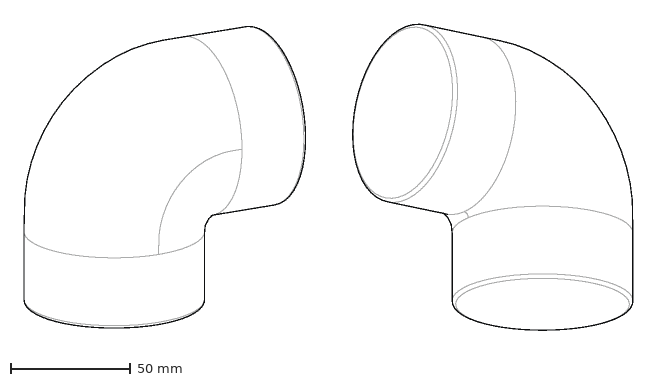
import math

import cadquery as cq

OUTER_DIAMETER = 76.0
OVERALL_LENGTH = 109.5
LEG_LENGTH = 31.3
RIM_RADIUS = 1.5
BACK_RADIUS = 69.0
BEND_ANGLE = 90.0
BEND_STEPS = 12

OUTER_RADIUS = OUTER_DIAMETER / 2
CENTRE_TO_FACE = OVERALL_LENGTH - OUTER_RADIUS
PIVOT_OFFSET = CENTRE_TO_FACE - LEG_LENGTH
THROAT_RADIUS = PIVOT_OFFSET - OUTER_RADIUS
BACK_REACH = PIVOT_OFFSET + OUTER_RADIUS
BACK_STRAIGHT = BACK_REACH - BACK_RADIUS


def leg(end_plane):
    """Straight round leg with a rounded rim; the plane lies on its end face, normal toward the bend."""
    end_face = cq.selectors.DirectionMinMaxSelector(end_plane.zDir, False)
    cylinder = cq.Workplane(end_plane).circle(OUTER_RADIUS).extrude(LEG_LENGTH)
    return cylinder.faces(end_face).fillet(RIM_RADIUS)


def back_distance(angle):
    """Distance from the pivot to the back of the bend: straight, arc, straight."""
    from_nearest_leg = min(angle, math.radians(BEND_ANGLE) - angle)
    if math.tan(from_nearest_leg) < BACK_STRAIGHT / BACK_REACH:
        return BACK_REACH / math.cos(from_nearest_leg)
    along_ray = BACK_STRAIGHT * (math.cos(angle) + math.sin(angle))
    across_ray = BACK_STRAIGHT * (math.cos(angle) - math.sin(angle))
    return along_ray + math.sqrt(BACK_RADIUS**2 - across_ray**2)


def bend_section(angle):
    """Elliptical cross-section of the bend, in the plane through the pivot at the given angle."""
    back = back_distance(angle)
    middle = (back + THROAT_RADIUS) / 2
    half_depth = (back - THROAT_RADIUS) / 2
    plane = cq.Plane(
        origin=(
            0,
            PIVOT_OFFSET - middle * math.cos(angle),
            -PIVOT_OFFSET + middle * math.sin(angle),
        ),
        xDir=(1, 0, 0),
        normal=(0, math.sin(angle), math.cos(angle)),
    )
    return cq.Workplane(plane).ellipse(OUTER_RADIUS, half_depth).wires().val()


def bend():
    """Smooth bend from the top of the vertical leg to the start of the horizontal leg."""
    step = math.radians(BEND_ANGLE) / BEND_STEPS
    sections = [bend_section(i * step) for i in range(BEND_STEPS + 1)]
    return cq.Workplane(cq.Solid.makeLoft(sections))


lower_end = cq.Plane(origin=(0, 0, -CENTRE_TO_FACE), xDir=(1, 0, 0), normal=(0, 0, 1))
rear_end = cq.Plane(origin=(0, CENTRE_TO_FACE, 0), xDir=(1, 0, 0), normal=(0, -1, 0))

result = bend().union(leg(lower_end)).union(leg(rear_end))